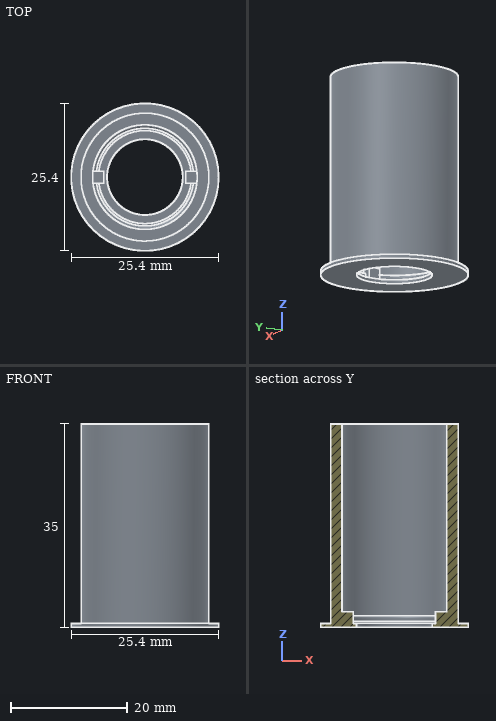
import cadquery as cq
import math

total_height = 35.0
flange_diameter = 25.4
flange_thickness = 0.7
barrel_diameter = 22.0

outlet_diameter = 13.0
seat_diameter = 16.0
ledge_diameter = 16.8
bore_diameter = 18.0
seat_floor = flange_thickness
seat_depth = 0.35
ledge_floor = seat_floor + seat_depth
ledge_round = 0.5
ledge_top = ledge_floor + 2 * ledge_round

key_width = 2.03
key_inner_radius = 7.05
key_wall_overlap = 0.18
key_rise = 0.7
key_top = ledge_top + key_rise


def cylinder(diameter, bottom, top):
    """Upright cylinder on the Z axis between two heights."""
    return cq.Workplane("XY").workplane(offset=bottom).circle(diameter / 2).extrude(top - bottom)


def make_shell():
    """Flanged tube with an open outlet at the bottom."""
    flange = cylinder(flange_diameter, 0, flange_thickness)
    barrel = cylinder(barrel_diameter, 0, total_height)
    return flange.union(barrel).cut(cylinder(outlet_diameter, 0, total_height))


def make_bore():
    """Stepped cavity whose ledge flares out over a convex quarter round."""
    seat = cylinder(seat_diameter, seat_floor, total_height)
    main_bore = cylinder(bore_diameter, ledge_top, total_height)

    ledge_radius = ledge_diameter / 2
    flare_radius = ledge_radius + ledge_round
    round_start = ledge_top - ledge_round
    arc_offset = ledge_round * (1 - math.cos(math.pi / 4))
    ledge_opening = (
        cq.Workplane("XZ")
        .moveTo(0, ledge_floor)
        .lineTo(ledge_radius, ledge_floor)
        .lineTo(ledge_radius, round_start)
        .threePointArc((ledge_radius + arc_offset, ledge_top - arc_offset), (flare_radius, ledge_top))
        .lineTo(0, ledge_top)
        .close()
        .revolve(360, (0, 0, 0), (0, 1, 0))
    )
    return seat.union(ledge_opening).union(main_bore)


def make_keys():
    """Two opposite blocks standing on the bottom floor and joined to the bore wall."""
    outer_radius = bore_diameter / 2 + key_wall_overlap
    length = outer_radius - key_inner_radius
    middle = (outer_radius + key_inner_radius) / 2
    return (
        cq.Workplane("XY")
        .workplane(offset=seat_floor)
        .pushPoints([(middle, 0), (-middle, 0)])
        .rect(length, key_width)
        .extrude(key_top - seat_floor)
    )


result = make_shell().cut(make_bore()).union(make_keys())